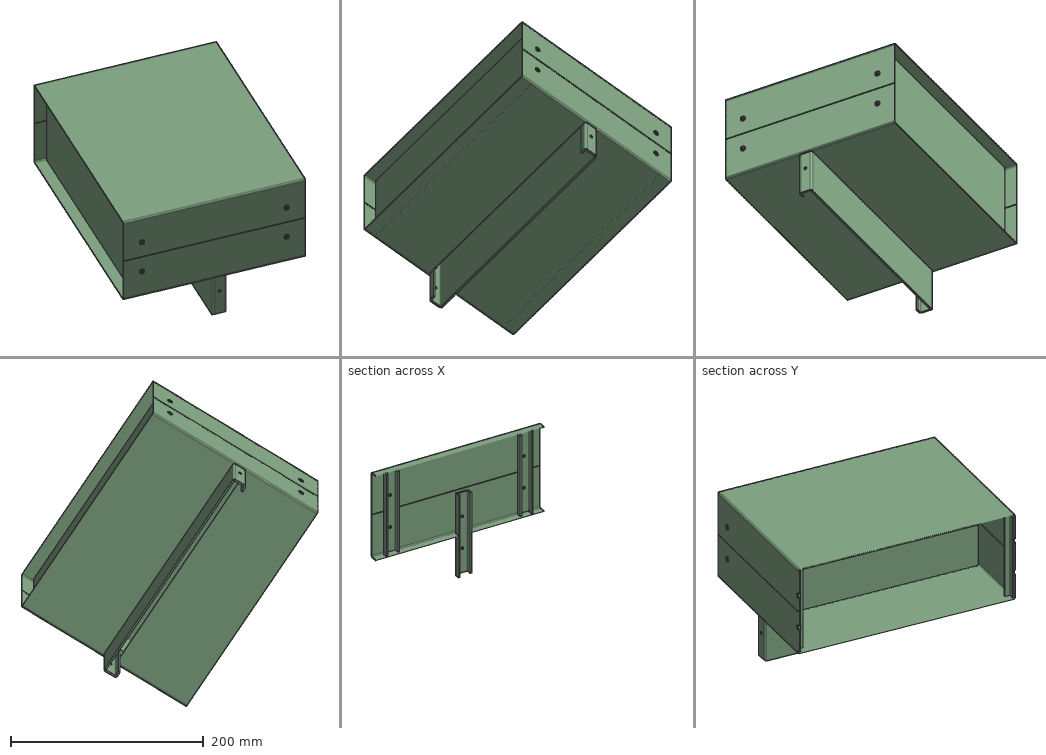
import cadquery as cq

CASE_WIDTH = 254.0
CASE_DEPTH = 203.2
CASE_HEIGHT = 101.5
HALF_HEIGHT = CASE_HEIGHT / 2
CASE_SHEET = 1.15
CASE_BEND_RADIUS = 2.0
CASE_HOLE_DIAMETER = 5.5

PANEL_WIDTH = 251.0
PANEL_HEIGHT = 98.5
PANEL_DEPTH = 16.0
PANEL_SHEET = 2.0
PANEL_BEND_RADIUS = 2.5
FACE_WIDTH = 248.0
LIP_WIDTH = 7.5
FLANGE_SETBACK = 1.3
PANEL_HOLE_DIAMETER = 3.0
PANEL_HOLE_SPACING = 38.0

END_PANEL_Y = 80.8
LOW_PANEL_Y = 6.4
LOW_PANEL_BOTTOM = -49.3
END_PANEL_BOTTOM = 1.3


def cross_holes(centers, diameter):
    """Bars along X, as long as the case is wide, at the given (y, z) centers."""
    return (
        cq.Workplane("YZ")
        .pushPoints(centers)
        .circle(diameter / 2)
        .extrude(CASE_WIDTH / 2, both=True)
    )


def case_block(inset):
    """The case outline drawn in by `inset` on all four sides, with rounded long edges."""
    return (
        cq.Workplane("XZ", origin=(0, 0, HALF_HEIGHT))
        .rect(CASE_WIDTH - 2 * inset, CASE_HEIGHT - 2 * inset)
        .extrude(CASE_DEPTH / 2, both=True)
        .edges("|Y")
        .fillet(CASE_BEND_RADIUS - inset)
    )


def half_shell(bottom):
    """A U-shaped shell: the half of the case tube whose lower limit is `bottom`."""
    half_space = (
        cq.Workplane("XY", origin=(0, 0, bottom))
        .rect(CASE_WIDTH, CASE_DEPTH)
        .extrude(HALF_HEIGHT)
    )
    hole_centers = [
        (y, HALF_HEIGHT + z)
        for y in (-END_PANEL_Y, END_PANEL_Y)
        for z in (-PANEL_HOLE_SPACING / 2, PANEL_HOLE_SPACING / 2)
    ]
    tube = case_block(0).cut(case_block(CASE_SHEET))
    return tube.intersect(half_space).cut(cross_holes(hole_centers, CASE_HOLE_DIAMETER))


def panel_block(inset):
    """The panel outline drawn in by `inset`, with rounded upright edges, standing on Z = 0."""
    return (
        cq.Workplane("XY")
        .rect(PANEL_WIDTH - 2 * inset, PANEL_DEPTH - 2 * inset)
        .extrude(PANEL_HEIGHT)
        .edges("|Z")
        .fillet(PANEL_BEND_RADIUS - inset)
    )


def panel():
    """A panel standing on Z = 0, with its face toward -Y and its lips toward +Y."""
    lip_gap = (
        cq.Workplane("XY", origin=(0, PANEL_DEPTH / 2, 0))
        .rect(PANEL_WIDTH - 2 * LIP_WIDTH, 2 * PANEL_BEND_RADIUS)
        .extrude(PANEL_HEIGHT)
    )
    face_span = (
        cq.Workplane("XY", origin=(0, (PANEL_SHEET - PANEL_DEPTH) / 2, 0))
        .rect(FACE_WIDTH, PANEL_SHEET)
        .extrude(PANEL_HEIGHT)
    )
    flange_span = (
        cq.Workplane("XY", origin=(0, 0, FLANGE_SETBACK))
        .rect(PANEL_WIDTH, PANEL_DEPTH)
        .extrude(PANEL_HEIGHT - 2 * FLANGE_SETBACK)
    )
    hole_centers = [
        (0, PANEL_HEIGHT / 2 + z) for z in (-PANEL_HOLE_SPACING / 2, PANEL_HOLE_SPACING / 2)
    ]
    bent_sheet = panel_block(0).cut(panel_block(PANEL_SHEET)).cut(lip_gap)
    holes = cross_holes(hole_centers, PANEL_HOLE_DIAMETER)
    return bent_sheet.intersect(flange_span.union(face_span)).cut(holes)


upper_shell = half_shell(HALF_HEIGHT)

floor_slot = panel_block(0).translate((0, LOW_PANEL_Y, LOW_PANEL_BOTTOM))
lower_shell = half_shell(0).cut(floor_slot)

panel_places = [
    (0, -END_PANEL_Y, END_PANEL_BOTTOM),
    (180, END_PANEL_Y, END_PANEL_BOTTOM),
    (0, LOW_PANEL_Y, LOW_PANEL_BOTTOM),
]
panels = [
    panel().rotate((0, 0, 0), (0, 0, 1), turn).translate((0, y, bottom))
    for turn, y, bottom in panel_places
]

result = cq.Compound.makeCompound(
    [upper_shell.val(), lower_shell.val(), *[body.val() for body in panels]]
)